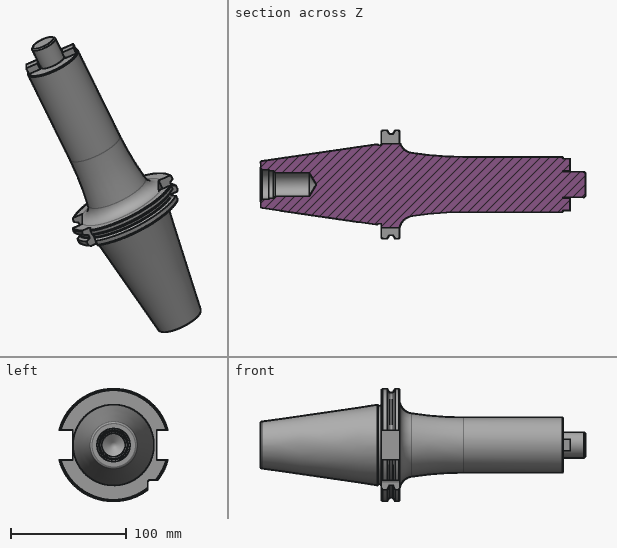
import cadquery as cq
import math

total_length = 280.5

taper_length = 101.0
taper_large_diameter = 70.0
taper_ratio = 7 / 48
taper_end_round = 1.7
neck_radius = 34.0
neck_slope_length = 0.8
neck_fillet = 0.8

flange_start = 104.0
flange_width = 16.0
flange_diameter = 97.5
flange_front_chamfer = 1.5
flange_back_chamfer = 0.8

groove_offset = 8.7
groove_depth = 3.0
groove_mouth_half_width = 3.5
groove_wall_angle = 30
groove_fillet = 0.8

slot_width = 25.8
slot_floor_front = 37.3
slot_floor_back = 35.4
slot_overrun = 2.8
notch_wall_y = -29.7
notch_ceiling_z = -30.3
notch_fillet = 1.5

body_diameter = 48.0
body_start = 175.0
body_end = 261.2
body_chamfer = 0.8
flare_join_x = 130.2
flare_join_radius = 27.5

pilot_radius = 11.2
pilot_chamfer = 1.5
key_height = 6.0
key_width = 10.0
key_inner = 11.8
key_outer = 22.5

bore_mouth_radius = 14.3
bore_mouth_depth = 1.7
counterbore_radius = 12.5
counterbore_depth = 7.3
entry_radius = 11.8
entry_depth = 11.2
entry_cone_end = 13.0
drill_radius = 10.0
drill_depth = 42.0
drill_point_angle = 118

flange_radius = flange_diameter / 2
body_radius = body_diameter / 2
flange_end = flange_start + flange_width
taper_large_radius = taper_large_diameter / 2
taper_small_radius = taper_large_radius - taper_length * taper_ratio
groove_center = flange_start + groove_offset
groove_floor_radius = flange_radius - groove_depth
wall_angle = math.radians(groove_wall_angle)
groove_corner_half_width = groove_mouth_half_width - groove_depth * math.tan(wall_angle)

fillet_tangent = groove_fillet * math.tan((math.pi / 2 - wall_angle) / 2)
flat_half_width = groove_corner_half_width - fillet_tangent
fillet_top_half_width = groove_corner_half_width + fillet_tangent * math.sin(wall_angle)
fillet_top_radius = groove_floor_radius + fillet_tangent * math.cos(wall_angle)


def flare_arcs():
    """Return both flare arcs' midpoints and the radius where the flare leaves the flange.

    The long arc is tangent to the body, and the short arc is tangent to it and to the flange face.
    """
    run = body_start - flare_join_x
    rise = flare_join_radius - body_radius
    long_radius = (run**2 + rise**2) / (2 * rise)
    join_angle = math.asin(run / long_radius)
    long_mid = (
        body_start - long_radius * math.sin(join_angle / 2),
        body_radius + long_radius * (1 - math.cos(join_angle / 2)),
    )
    short_radius = (flare_join_x - flange_end) / (1 - math.sin(join_angle))
    center_x = flange_end + short_radius
    center_r = flare_join_radius + short_radius * math.cos(join_angle)
    mid_angle = (math.pi / 2 - join_angle) / 2
    short_mid = (
        center_x - short_radius * math.cos(mid_angle),
        center_r - short_radius * math.sin(mid_angle),
    )
    return short_mid, long_mid, center_r


def revolve_about_axis(profile):
    return profile.close().revolve(360, (0, 0, 0), (1, 0, 0))


def make_body():
    """Revolve the outline of taper, flange, flare, body and pilot."""
    short_mid, long_mid, flare_radius = flare_arcs()
    profile = (
        cq.Workplane("XY")
        .moveTo(0, 0)
        .lineTo(0, taper_small_radius)
        .lineTo(taper_length, taper_large_radius)
        .lineTo(taper_length + neck_slope_length, neck_radius)
        .lineTo(flange_start - neck_fillet, neck_radius)
        .tangentArcPoint((flange_start, neck_radius + neck_fillet), relative=False)
        .lineTo(flange_start, flange_radius - flange_front_chamfer)
        .lineTo(flange_start + flange_front_chamfer, flange_radius)
        .lineTo(groove_center - groove_mouth_half_width, flange_radius)
        .lineTo(groove_center - fillet_top_half_width, fillet_top_radius)
        .tangentArcPoint((groove_center - flat_half_width, groove_floor_radius), relative=False)
        .lineTo(groove_center + flat_half_width, groove_floor_radius)
        .tangentArcPoint((groove_center + fillet_top_half_width, fillet_top_radius), relative=False)
        .lineTo(groove_center + groove_mouth_half_width, flange_radius)
        .lineTo(flange_end - flange_back_chamfer, flange_radius)
        .lineTo(flange_end, flange_radius - flange_back_chamfer)
        .lineTo(flange_end, flare_radius)
        .threePointArc(short_mid, (flare_join_x, flare_join_radius))
        .threePointArc(long_mid, (body_start, body_radius))
        .lineTo(body_end - body_chamfer, body_radius)
        .lineTo(body_end, body_radius - body_chamfer)
        .lineTo(body_end, pilot_radius)
        .lineTo(total_length - pilot_chamfer, pilot_radius)
        .lineTo(total_length, pilot_radius - pilot_chamfer)
        .lineTo(total_length, 0)
    )
    return revolve_about_axis(profile).faces("<X").edges().fillet(taper_end_round)


def make_bore():
    """Blind stepped bore with a countersunk mouth and a drill point."""
    point_length = drill_radius / math.tan(math.radians(drill_point_angle / 2))
    profile = (
        cq.Workplane("XY")
        .moveTo(0, 0)
        .lineTo(0, bore_mouth_radius)
        .lineTo(bore_mouth_depth, counterbore_radius)
        .lineTo(counterbore_depth, counterbore_radius)
        .lineTo(counterbore_depth, entry_radius)
        .lineTo(entry_depth, entry_radius)
        .lineTo(entry_cone_end, drill_radius)
        .lineTo(drill_depth, drill_radius)
        .lineTo(drill_depth + point_length, 0)
    )
    return revolve_about_axis(profile)


def make_slot(side, floor):
    """Cutter for one driving slot; side is -1 for the -Y slot and +1 for the +Y slot."""
    length = flange_width + slot_overrun
    depth = flange_radius
    return cq.Workplane("XY").box(length, depth, slot_width).translate(
        (flange_start + length / 2, side * (floor + depth / 2), 0)
    )


def make_notch():
    """Cutter for the square orientation notch, with its inner corner rounded."""
    size = flange_radius
    return (
        cq.Workplane("XY")
        .box(flange_width, size, size)
        .edges(">Y and >Z")
        .fillet(notch_fillet)
        .translate((flange_start + flange_width / 2, notch_wall_y - size / 2, notch_ceiling_z - size / 2))
    )


def make_key(side):
    """Drive key standing out of the end face of the body and rooted as deep inside it."""
    depth = key_outer - key_inner
    return cq.Workplane("XY").box(2 * key_height, depth, key_width).translate(
        (body_end, side * (key_inner + depth / 2), 0)
    )


result = make_body().cut(make_bore())
result = result.cut(make_slot(-1, slot_floor_front)).cut(make_slot(1, slot_floor_back))
result = result.cut(make_notch())
for side in (-1, 1):
    result = result.union(make_key(side))